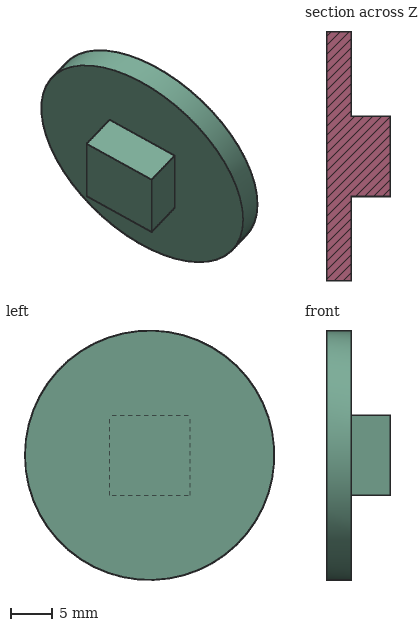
import cadquery as cq

disc_diameter = 30.25
disc_thickness = 3.0
overall_length = 7.75
stem_side = 9.75

stem_length = overall_length - disc_thickness

disc = cq.Workplane("YZ").circle(disc_diameter / 2).extrude(disc_thickness)

result = disc.faces(">X").workplane().rect(stem_side, stem_side).extrude(stem_length)